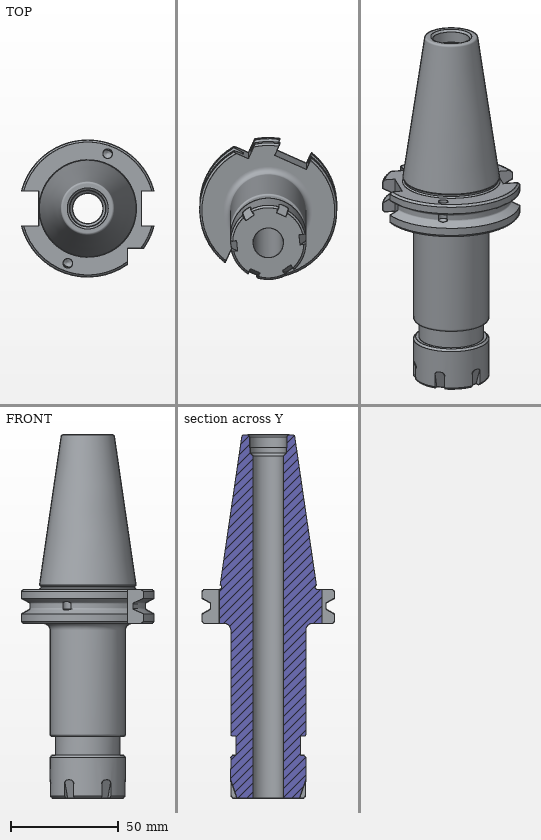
import cadquery as cq
import math

gauge_radius = 44.45 / 2
taper_slope = 7 / 48
shank_length = 68.4
rim_fillet = 1.0
taper_bottom_z = -1.2

relief_radius = 21.8
relief_top_z = -1.8
relief_bottom_z = -2.6
relief_bottom_radius = 22.6

flange_radius = 63.55 / 2
flange_top_z = -3.2
flange_bottom_z = -19.1
flange_edge = 1.0
groove_center_z = -11.0
groove_root_radius = 28.0
groove_mouth = 7.2
groove_root_fillet = 0.6
groove_flank_angle = 30

drive_slot_width = 16.1
left_slot_floor = 22.8
right_slot_floor = 25.0
notch_x = 18.5
notch_y = 18.5

coolant_circle_radius = 27.0
coolant_hole_radius = 2.2
coolant_hole_depth = 9.2
coolant_cone_height = 1.3
coolant_hole_angles = (70, 250)

body_radius = 17.5
body_fillet = 3.0
body_bottom_z = -71.3
neck_radius = 15.0
nut_radius = 17.5
nut_top_z = -80.0
nut_bottom_z = -100.0
nut_edge = 1.0

wrench_slot_count = 6
wrench_slot_width = 4.7
wrench_slot_height = 8.6
wrench_slot_depth = 3.0
wrench_slot_corner = 1.8

bore_radius = 7.0
counterbore_radius = 8.5
counterbore_depth = 6.0
mouth_radius = 9.5
mouth_depth = 1.0
bore_cone_height = 1.5
land_radius = 8.3
land_height = 2.4


def taper_radius(z):
    return gauge_radius - taper_slope * z


def circle_at(radius, z):
    """Selector for the circular edge of the given radius centred on the axis at height z."""
    margin = 0.01
    return cq.selectors.BoxSelector(
        (-radius - margin, -radius - margin, z - margin),
        (radius + margin, radius + margin, z + margin),
        boundingbox=True,
    ) - cq.selectors.BoxSelector(
        (-radius + margin, -radius + margin, z - margin),
        (radius - margin, radius - margin, z + margin),
        boundingbox=True,
    )


def turned_body():
    """Solid of revolution with every outside diameter."""
    flank_height = (flange_radius - groove_root_radius) * math.tan(math.radians(groove_flank_angle))
    mouth_top_z = groove_center_z + groove_mouth / 2
    mouth_bottom_z = groove_center_z - groove_mouth / 2
    fillet_bottom_z = flange_bottom_z - body_fillet
    arc_inset = body_fillet * (1 - math.sqrt(0.5))

    profile = (
        cq.Workplane("XZ")
        .moveTo(0, shank_length)
        .lineTo(taper_radius(shank_length), shank_length)
        .lineTo(taper_radius(taper_bottom_z), taper_bottom_z)
        .lineTo(relief_radius, relief_top_z)
        .lineTo(relief_radius, relief_bottom_z)
        .lineTo(relief_bottom_radius, flange_top_z)
        .lineTo(flange_radius - flange_edge, flange_top_z)
        .lineTo(flange_radius, flange_top_z - flange_edge)
        .lineTo(flange_radius, mouth_top_z)
        .lineTo(groove_root_radius, mouth_top_z - flank_height)
        .lineTo(groove_root_radius, mouth_bottom_z + flank_height)
        .lineTo(flange_radius, mouth_bottom_z)
        .lineTo(flange_radius, flange_bottom_z + flange_edge)
        .lineTo(flange_radius - flange_edge, flange_bottom_z)
        .lineTo(body_radius + body_fillet, flange_bottom_z)
        .threePointArc(
            (body_radius + arc_inset, flange_bottom_z - arc_inset),
            (body_radius, fillet_bottom_z),
        )
        .lineTo(body_radius, body_bottom_z)
        .lineTo(neck_radius, body_bottom_z)
        .lineTo(neck_radius, nut_top_z)
        .lineTo(nut_radius - nut_edge, nut_top_z)
        .lineTo(nut_radius, nut_top_z - nut_edge)
        .lineTo(nut_radius, nut_bottom_z + nut_edge)
        .lineTo(nut_radius - nut_edge, nut_bottom_z)
        .lineTo(0, nut_bottom_z)
        .close()
    )
    body = profile.revolve(360, (0, 0, 0), (0, 1, 0))
    round_edges = (
        (groove_root_radius, mouth_top_z - flank_height, groove_root_fillet),
        (groove_root_radius, mouth_bottom_z + flank_height, groove_root_fillet),
        (taper_radius(shank_length), shank_length, rim_fillet),
        (body_radius, body_bottom_z, rim_fillet),
    )
    for radius, z, fillet in round_edges:
        body = body.edges(circle_at(radius, z)).fillet(fillet)
    return body


def bore():
    """Stepped bore along the whole axis."""
    counterbore_z = shank_length - counterbore_depth
    land_bottom_z = counterbore_z - land_height
    profile = (
        cq.Workplane("XZ")
        .moveTo(0, shank_length)
        .lineTo(mouth_radius, shank_length)
        .lineTo(counterbore_radius, shank_length - mouth_depth)
        .lineTo(counterbore_radius, counterbore_z)
        .lineTo(land_radius, counterbore_z)
        .lineTo(land_radius, land_bottom_z)
        .lineTo(bore_radius, land_bottom_z - bore_cone_height)
        .lineTo(bore_radius, nut_bottom_z)
        .lineTo(0, nut_bottom_z)
        .close()
    )
    return profile.revolve(360, (0, 0, 0), (0, 1, 0))


def flange_cutter(x_start, x_end, y_start, y_end):
    """Block spanning the flange thickness over the given X and Y ranges."""
    return (
        cq.Workplane("XY", origin=(0, 0, flange_bottom_z))
        .moveTo(x_start, y_start)
        .lineTo(x_end, y_start)
        .lineTo(x_end, y_end)
        .lineTo(x_start, y_end)
        .close()
        .extrude(flange_top_z - flange_bottom_z)
    )


def drive_slots():
    half_width = drive_slot_width / 2
    left = flange_cutter(-flange_radius, -left_slot_floor, -half_width, half_width)
    right = flange_cutter(right_slot_floor, flange_radius, -half_width, half_width)
    return left.union(right)


def orientation_notch():
    return flange_cutter(notch_x, flange_radius, -flange_radius, -notch_y)


def coolant_holes():
    """Blind holes with conical ends that break into the V groove."""
    cone_z = flange_top_z - coolant_hole_depth
    hole = (
        cq.Workplane("XZ")
        .moveTo(0, flange_top_z)
        .lineTo(coolant_hole_radius, flange_top_z)
        .lineTo(coolant_hole_radius, cone_z)
        .lineTo(0, cone_z - coolant_cone_height)
        .close()
        .revolve(360, (0, 0, 0), (0, 1, 0))
        .translate((coolant_circle_radius, 0, 0))
    )
    holes = cq.Workplane("XY")
    for angle in coolant_hole_angles:
        holes = holes.union(hole.rotate((0, 0, 0), (0, 0, 1), angle))
    return holes


def wrench_slots():
    """Wedge-shaped radial slots in the lower rim of the nut, with sloping floors and rounded tops."""
    slot = (
        cq.Workplane("XZ")
        .moveTo(nut_radius - wrench_slot_depth, nut_bottom_z)
        .lineTo(nut_radius + wrench_slot_depth, nut_bottom_z)
        .lineTo(nut_radius + wrench_slot_depth, nut_bottom_z + wrench_slot_height)
        .lineTo(nut_radius, nut_bottom_z + wrench_slot_height)
        .close()
        .extrude(wrench_slot_width / 2, both=True)
        .edges("|X and >Z")
        .fillet(wrench_slot_corner)
    )
    slots = cq.Workplane("XY")
    for index in range(wrench_slot_count):
        slots = slots.union(slot.rotate((0, 0, 0), (0, 0, 1), index * 360 / wrench_slot_count))
    return slots


result = (
    turned_body()
    .cut(bore())
    .cut(drive_slots())
    .cut(orientation_notch())
    .cut(coolant_holes())
    .cut(wrench_slots())
)